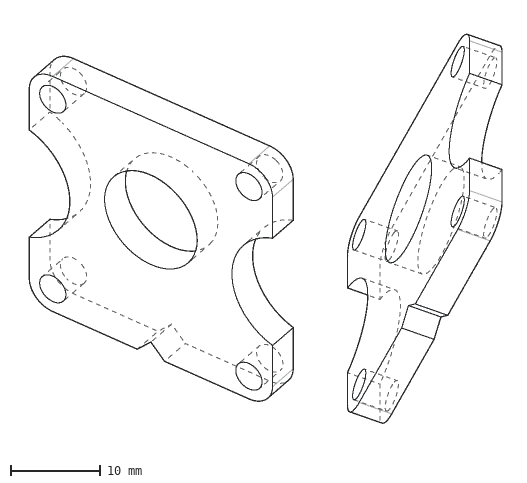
import cadquery as cq

side = 33.53
thickness = 4.0
corner_radius = 3.25

screw_hole_diameter = 3.62
screw_spacing = side - 2 * corner_radius

bore_diameter = 12.75
bore_height = 2.55

scallop_radius = 8.0
scallop_depth = 5.6
scallop_offset = side / 2 - scallop_depth + scallop_radius

notch_depth = 1.88
notch_half_width = notch_depth


def through_prism(sketch):
    """Extrude a sketch on the XZ plane through the whole thickness."""
    return sketch.extrude(thickness / 2, both=True)


plate = through_prism(cq.Workplane("XZ").rect(side, side))
plate = plate.edges("|Y").fillet(corner_radius)

screw_holes = through_prism(
    cq.Workplane("XZ")
    .rect(screw_spacing, screw_spacing, forConstruction=True)
    .vertices()
    .circle(screw_hole_diameter / 2)
)

bore = through_prism(cq.Workplane("XZ").center(0, bore_height).circle(bore_diameter / 2))

scallops = through_prism(
    cq.Workplane("XZ")
    .pushPoints([(-scallop_offset, 0), (scallop_offset, 0)])
    .circle(scallop_radius)
)

notch = through_prism(
    cq.Workplane("XZ")
    .moveTo(-notch_half_width, -side / 2)
    .lineTo(0, -side / 2 + notch_depth)
    .lineTo(notch_half_width, -side / 2)
    .close()
)

result = plate.cut(screw_holes).cut(bore).cut(scallops).cut(notch)